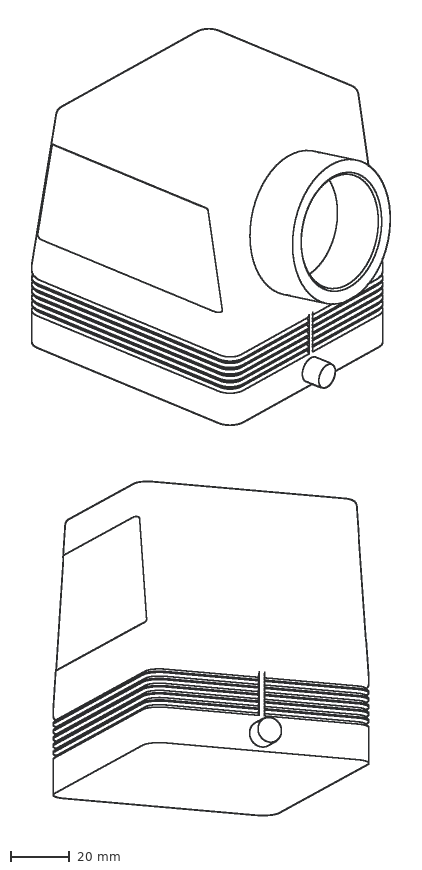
import cadquery as cq
import math

BODY_LENGTH = 93.5
BODY_WIDTH = 82.5
BODY_HEIGHT = 94.0
DRAFT_START = 30.0
DRAFT_ANGLE = 10.0
CORNER_RADIUS = 6.0
TOP_RADIUS = 2.0

RECESS_BOTTOM = 42.7
RECESS_TOP = 81.5
RECESS_DEPTH = 1.0
RECESS_COVE_RADIUS = 1.2

GROOVE_COUNT = 6
GROOVE_PITCH = 2.5
GROOVE_WIDTH = 2.1
GROOVE_DEPTH = 1.0
LOWEST_GROOVE = 13.5
TOP_LAND = 27.75
RIB_WIDTH = 2.0

PIN_DIAMETER = 9.0
PIN_SPAN = 108.0
PIN_HEIGHT = 6.0
PIN_CHAMFER_LENGTH = 1.3
PIN_CHAMFER_RADIAL = 0.2

ENTRY_DIAMETER = 50.0
ENTRY_BORE = 39.5
ENTRY_CHAMFER = 0.8
ENTRY_LENGTH = 19.5
ENTRY_END_HEIGHT = 64.4
ENTRY_EMBED = 5.0

HALF_LENGTH = BODY_LENGTH / 2
HALF_WIDTH = BODY_WIDTH / 2
DRAFT_SLOPE = math.tan(math.radians(DRAFT_ANGLE))


def make_body():
    """Hood block: straight skirt, both end walls leaning inward above it."""
    half_top = HALF_LENGTH - (BODY_HEIGHT - DRAFT_START) * DRAFT_SLOPE
    body = (
        cq.Workplane("XZ")
        .polyline([
            (-HALF_LENGTH, 0),
            (HALF_LENGTH, 0),
            (HALF_LENGTH, DRAFT_START),
            (half_top, BODY_HEIGHT),
            (-half_top, BODY_HEIGHT),
            (-HALF_LENGTH, DRAFT_START),
        ])
        .close()
        .extrude(HALF_WIDTH, both=True)
    )
    upright_edges = body.edges("<Y or >Y").edges("not #Z")
    body = upright_edges.fillet(CORNER_RADIUS)
    return body.faces(">Z").edges().fillet(TOP_RADIUS)


def recess_cutter(side):
    """Bar cutting the recess on the long wall at the given Y side, coved into its floor."""
    outer = side * HALF_WIDTH
    floor = side * (HALF_WIDTH - RECESS_DEPTH)
    cove_angle = math.acos(1 - RECESS_DEPTH / RECESS_COVE_RADIUS)
    cove_height = RECESS_COVE_RADIUS * math.sin(cove_angle)
    middle_y = floor + side * RECESS_COVE_RADIUS * (1 - math.cos(cove_angle / 2))
    middle_rise = cove_height - RECESS_COVE_RADIUS * math.sin(cove_angle / 2)
    return (
        cq.Workplane("YZ")
        .moveTo(outer, RECESS_BOTTOM)
        .threePointArc((middle_y, RECESS_BOTTOM + middle_rise), (floor, RECESS_BOTTOM + cove_height))
        .lineTo(floor, RECESS_TOP - cove_height)
        .threePointArc((middle_y, RECESS_TOP - middle_rise), (outer, RECESS_TOP))
        .close()
        .extrude(HALF_LENGTH, both=True)
    )


def groove_ring(profile):
    """Sweep a YZ groove profile on the -Y wall around the skirt outline."""
    path = (
        cq.Workplane("XY")
        .moveTo(0, -HALF_WIDTH)
        .lineTo(HALF_LENGTH - CORNER_RADIUS, -HALF_WIDTH)
        .radiusArc((HALF_LENGTH, -HALF_WIDTH + CORNER_RADIUS), -CORNER_RADIUS)
        .lineTo(HALF_LENGTH, HALF_WIDTH - CORNER_RADIUS)
        .radiusArc((HALF_LENGTH - CORNER_RADIUS, HALF_WIDTH), -CORNER_RADIUS)
        .lineTo(0, HALF_WIDTH)
    )
    half_ring = profile.sweep(path)
    return half_ring.union(half_ring.mirror("YZ"))


def make_grooves():
    """V grooves around the skirt; the top one ends in a rounded shoulder."""
    wall = -HALF_WIDTH
    valley = wall + GROOVE_DEPTH
    half = GROOVE_WIDTH / 2
    plain = groove_ring(
        cq.Workplane("YZ").polyline([(wall, -half), (wall, half), (valley, 0)]).close()
    )

    flank_angle = math.atan2(GROOVE_DEPTH, half)
    shoulder_top = TOP_LAND - LOWEST_GROOVE - (GROOVE_COUNT - 1) * GROOVE_PITCH
    tangent_length = shoulder_top - half
    radius = tangent_length / math.tan(flank_angle / 2)

    def on_shoulder(angle):
        return (wall + radius * (1 - math.cos(angle)), shoulder_top - radius * math.sin(angle))

    top = groove_ring(
        cq.Workplane("YZ")
        .moveTo(wall, -half)
        .lineTo(wall, shoulder_top)
        .threePointArc(on_shoulder(flank_angle / 2), on_shoulder(flank_angle))
        .lineTo(valley, 0)
        .close()
    )

    rings = top.translate((0, 0, LOWEST_GROOVE + (GROOVE_COUNT - 1) * GROOVE_PITCH))
    for index in range(GROOVE_COUNT - 1):
        rings = rings.union(plain.translate((0, 0, LOWEST_GROOVE + index * GROOVE_PITCH)))
    end_ribs = cq.Workplane("XY").box(
        2 * BODY_LENGTH, RIB_WIDTH, BODY_HEIGHT, centered=(True, True, False)
    )
    return rings.cut(end_ribs)


def make_pins():
    """One round bar through the skirt with tapered tips, giving a pin at each end."""
    radius = PIN_DIAMETER / 2
    half_span = PIN_SPAN / 2
    shoulder = half_span - PIN_CHAMFER_LENGTH
    tip_radius = radius - PIN_CHAMFER_RADIAL
    return (
        cq.Workplane("XZ")
        .polyline([
            (-half_span, 0),
            (-half_span, tip_radius),
            (-shoulder, radius),
            (shoulder, radius),
            (half_span, tip_radius),
            (half_span, 0),
        ])
        .close()
        .revolve(360, (0, 0, 0), (1, 0, 0))
        .translate((0, 0, PIN_HEIGHT))
    )


def entry_plane():
    """Plane at the sloping +X wall, on the entry axis and facing outward."""
    tilt = math.radians(DRAFT_ANGLE)
    axis_height = ENTRY_END_HEIGHT - ENTRY_LENGTH * math.sin(tilt)
    wall_x = HALF_LENGTH - (axis_height - DRAFT_START) * DRAFT_SLOPE
    return cq.Plane(
        origin=(wall_x, 0, axis_height),
        xDir=(0, 1, 0),
        normal=(math.cos(tilt), 0, math.sin(tilt)),
    )


def make_entry_collar():
    return (
        cq.Workplane(entry_plane())
        .workplane(offset=-ENTRY_EMBED)
        .circle(ENTRY_DIAMETER / 2)
        .extrude(ENTRY_EMBED + ENTRY_LENGTH)
    )


def make_entry_bore():
    """Blind bore as deep as the collar, widened by a chamfer at the mouth."""
    radius = ENTRY_BORE / 2
    bore = cq.Workplane(entry_plane()).circle(radius).extrude(ENTRY_LENGTH)
    mouth = cq.Solid.makeCone(
        radius,
        radius + ENTRY_CHAMFER,
        ENTRY_CHAMFER,
        entry_plane().toWorldCoords((0, 0, ENTRY_LENGTH - ENTRY_CHAMFER)),
        entry_plane().zDir,
    )
    return bore.union(cq.Workplane(mouth))


body = make_body()
for side in (-1, 1):
    body = body.cut(recess_cutter(side))
body = body.cut(make_grooves())
body = body.union(make_pins())
body = body.union(make_entry_collar())
result = body.cut(make_entry_bore())